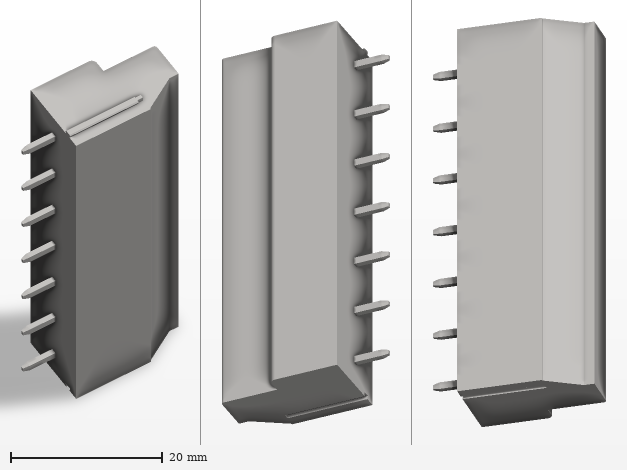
import cadquery as cq

pole_count = 7
total_height = 53.95
body_height = 53.35
pole_pitch = body_height / pole_count

body_width = 11.2
body_depth = 18.0
step_width = 2.45
step_y = 9.85
step_radius = 0.8
back_radius = 0.45
back_right_x = 8.15
slope_back_y = 16.55
slope_front_x = 11.05
slope_front_y = 11.7

pin_length = 4.95
pin_x = 5.7
pin_width = 0.8
pin_height = 0.95
tip_length = 0.95
tip_width = 0.45
tip_height = 0.6

rail_x = 9.15
rail_height = total_height - body_height
rail_length = 10.75
rail_max_width = 1.15
rail_neck_width = 0.8
rail_bevel = 0.15
stub_width = 0.55
stub_length = 0.85
key_length = rail_length + stub_length
groove_depth = rail_height


def make_housing():
    """Extruded stepped profile with a sloping right side and two rounded left corners."""
    profile = [
        (0, 0),
        (body_width, 0),
        (body_width, slope_front_y),
        (slope_front_x, slope_front_y),
        (back_right_x, slope_back_y),
        (back_right_x, body_depth),
        (step_width, body_depth),
        (step_width, step_y),
        (0, step_y),
    ]
    housing = cq.Workplane("XY").polyline(profile).close().extrude(body_height)
    mid_z = body_height / 2
    housing = housing.edges(cq.NearestToPointSelector((0, step_y, mid_z))).fillet(step_radius)
    return housing.edges(cq.NearestToPointSelector((step_width, body_depth, mid_z))).fillet(back_radius)


def make_pin(center_z):
    """Rectangular pin pointing to -Y with a tapered tip."""
    shank_length = pin_length - tip_length
    shank = cq.Workplane("XZ", origin=(pin_x, 0, center_z)).rect(pin_width, pin_height).extrude(shank_length)
    tip = (
        shank.faces("<Y").workplane(origin=(pin_x, 0, center_z)).rect(pin_width, pin_height)
        .workplane(offset=tip_length).rect(tip_width, tip_height)
        .loft(combine=False)
    )
    return shank.union(tip)


def make_key(base_z, half_profile, length):
    """Bar along +Y from the pin face; half_profile lists (half width, height) upward."""
    right = [(half, height) for half, height in half_profile]
    left = [(-half, height) for half, height in reversed(half_profile)]
    return cq.Workplane("XZ", origin=(rail_x, 0, base_z)).polyline(right + left).close().extrude(-length)


def make_rail():
    """Rail that flares above its neck, has bevelled top edges and ends in a narrow stub."""
    rail = make_key(
        body_height,
        [
            (rail_neck_width / 2, 0),
            (rail_max_width / 2, rail_height - rail_bevel),
            (rail_neck_width / 2, rail_height),
        ],
        rail_length,
    )
    stub = make_key(body_height, [(stub_width / 2, 0), (stub_width / 2, rail_height)], key_length)
    return rail.union(stub)


def make_groove():
    """Dovetail groove, narrow at the mouth, as long as the rail with its stub."""
    return make_key(
        0,
        [(rail_neck_width / 2, 0), (rail_max_width / 2, groove_depth)],
        key_length,
    )


result = make_housing().union(make_rail()).cut(make_groove())
for pole in range(pole_count):
    result = result.union(make_pin((pole + 0.5) * pole_pitch))